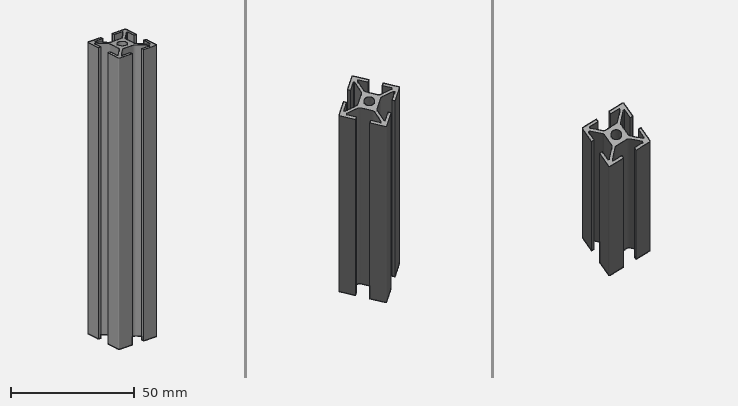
import cadquery as cq
import math

side = 20.0
length = 130.0
slot_opening = 6.0
lip_thickness = 1.3
cavity_width = 14.4
core_width = 8.0
rib_thickness = 1.3
bore_diameter = 4.3
root_radius = 1.5
outer_radius = 0.4

half_side = side / 2
half_opening = slot_opening / 2
half_cavity = cavity_width / 2
half_core = core_width / 2
lip_inner = half_side - lip_thickness
rib_offset = rib_thickness / math.sqrt(2)


def slot_cutter():
    """T-slot opening on +Y, with flanks parallel to the diagonal ribs."""
    right_half = [
        (half_opening, half_side),
        (half_opening, lip_inner),
        (half_cavity, lip_inner),
        (half_cavity, half_cavity + rib_offset),
        (half_core - rib_offset, half_core),
    ]
    left_half = [(-x, y) for x, y in reversed(right_half)]
    cutter = cq.Workplane("XY").polyline(right_half + left_half).close().extrude(length)
    return cutter.faces("<Y").edges("|Z").fillet(root_radius)


bar = cq.Workplane("XY").rect(side, side).extrude(length).edges("|Z").fillet(outer_radius)
bore = cq.Workplane("XY").circle(bore_diameter / 2).extrude(length)
result = bar.cut(bore)

slot = slot_cutter()
for quarter_turn in range(4):
    result = result.cut(slot.rotate((0, 0, 0), (0, 0, 1), 90 * quarter_turn))